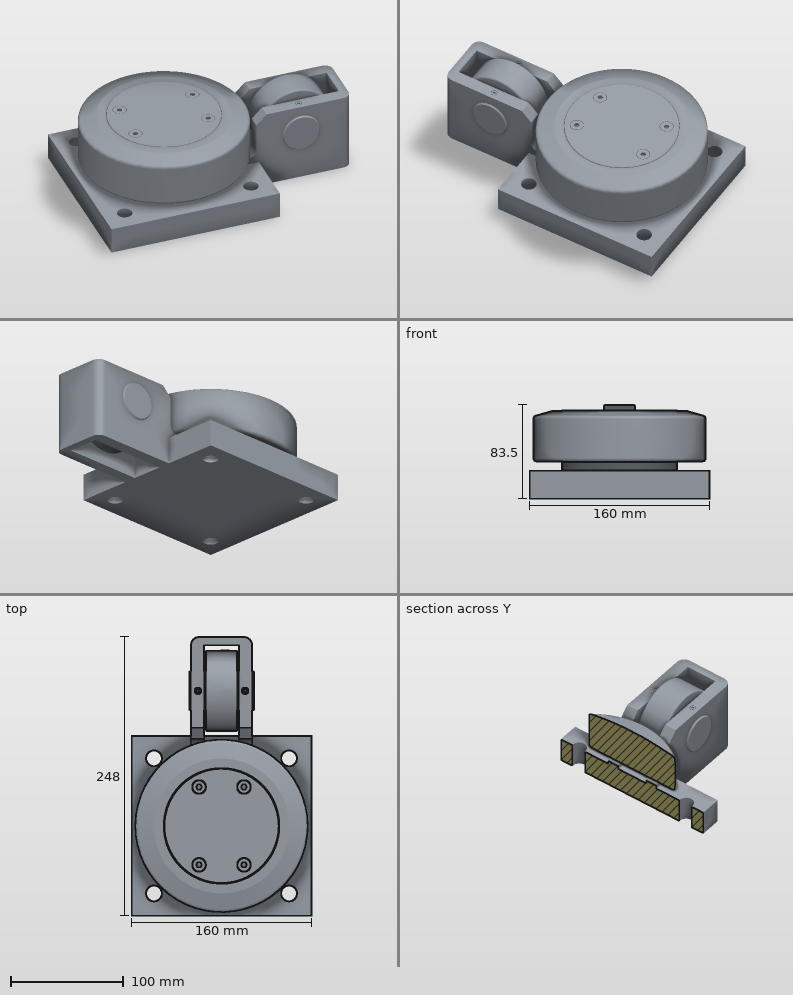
import cadquery as cq
import math

PLATE_SIDE = 160.0
PLATE_THICKNESS = 25.0
MOUNT_HOLE_DIAMETER = 14.0
MOUNT_HOLE_PITCH = 120.0

CAP_DIAMETER = 102.5
CAP_TOP = 78.9
CAP_CHAMFER = 0.5
ROLLER_DIAMETER = 153.3
ROLLER_BOTTOM = 33.2
ROLLER_TOP = 78.0
ROLLER_FLAT_DIAMETER = 120.0
ROLLER_SHOULDER = 73.5
ROLLER_CROWN = 0.12
ROLLER_EDGE_RADIUS = 3.0
ROLLER_BORE_DIAMETER = 103.0
BORE_GAP_DEPTH = 2.5

SCREW_CIRCLE_DIAMETER = 79.9
SCREW_ANGLES = (60, 120, 240, 300)
SCREW_POCKET_DIAMETER = 12.5
SCREW_HEAD_DIAMETER = 11.7
SCREW_GAP_DEPTH = 2.5
SOCKET_CORNER_DIAMETER = 5.2
SOCKET_DEPTH = 2.5

OVERALL_LENGTH = 248.0
FORK_WIDTH = 54.5
FORK_HEIGHT = 74.6
FORK_SLOT_WIDTH = 30.8
FORK_END_WALL = 7.7
FORK_CORNER_RADIUS = 7.7
FORK_CHAMFER = 9.7
ROLLER_CLEARANCE = 1.0
FOOT_TOP = 31.7
FOOT_TIP_Y = 56.3
FOOT_SLOPE_RUN = 5.7
FOOT_CORNER_RADIUS = 6.0

OVERALL_HEIGHT = 83.5
SIDE_ROLLER_DIAMETER = 72.0
SIDE_ROLLER_WIDTH = 27.8
SIDE_ROLLER_EDGE_RADIUS = 1.5
SIDE_ROLLER_CROWN = 0.12
PIN_Y = 120.0
PIN_DIAMETER = 35.2
PIN_LENGTH = 57.8
PIN_CHAMFER_LENGTH = 1.5
PIN_CHAMFER_DEPTH = 1.0

SET_SCREW_SPACING = 42.0
SET_SCREW_HOLE_DIAMETER = 6.0
SET_SCREW_DIAMETER = 5.0
SET_SCREW_GAP_DEPTH = 1.2
SET_SCREW_SOCKET_CORNER_DIAMETER = 3.0
SET_SCREW_SOCKET_DEPTH = 1.5

PLATE_EDGE_Y = PLATE_SIDE / 2
FORK_END_Y = OVERALL_LENGTH - PLATE_EDGE_Y
FORK_FACE_Y = ROLLER_DIAMETER / 2 + ROLLER_CLEARANCE
PIN_Z = OVERALL_HEIGHT - SIDE_ROLLER_DIAMETER / 2


def disc(diameter, bottom, top):
    """Cylinder about the Z axis between two heights."""
    return cq.Workplane("XY").workplane(offset=bottom).circle(diameter / 2).extrude(top - bottom)


def round_rims(roller, rim_radius, edge_radius):
    """Fillet the circular edges of a roller that have the given rim radius."""
    rims = roller.edges("%CIRCLE").filter(lambda edge: math.isclose(edge.radius(), rim_radius))
    return rims.fillet(edge_radius)


def make_plate():
    plate = cq.Workplane("XY").rect(PLATE_SIDE, PLATE_SIDE).extrude(PLATE_THICKNESS)
    holes = cq.Workplane("XY").rect(MOUNT_HOLE_PITCH, MOUNT_HOLE_PITCH, forConstruction=True).vertices()
    return plate.cut(holes.circle(MOUNT_HOLE_DIAMETER / 2).extrude(PLATE_THICKNESS))


def make_main_roller():
    side_radius = ROLLER_DIAMETER / 2 - ROLLER_CROWN
    middle_height = (ROLLER_BOTTOM + ROLLER_SHOULDER) / 2
    roller = (
        cq.Workplane("XZ")
        .moveTo(0, ROLLER_BOTTOM)
        .lineTo(side_radius, ROLLER_BOTTOM)
        .threePointArc((ROLLER_DIAMETER / 2, middle_height), (side_radius, ROLLER_SHOULDER))
        .lineTo(ROLLER_FLAT_DIAMETER / 2, ROLLER_TOP)
        .lineTo(0, ROLLER_TOP)
        .close()
        .revolve(360, (0, 0, 0), (0, 1, 0))
    )
    roller = round_rims(roller, side_radius, ROLLER_EDGE_RADIUS)

    gap_bottom = ROLLER_TOP - BORE_GAP_DEPTH
    bore_gap = disc(ROLLER_BORE_DIAMETER, gap_bottom, ROLLER_TOP)
    cap = disc(CAP_DIAMETER, gap_bottom, CAP_TOP).faces(">Z").chamfer(CAP_CHAMFER)
    spacer = disc(CAP_DIAMETER, PLATE_THICKNESS, ROLLER_BOTTOM).faces("<Z or >Z").chamfer(CAP_CHAMFER)
    return roller.cut(bore_gap).union(cap).union(spacer)


def make_screw_recesses(
    centres, face_height, hole_diameter, head_diameter, gap_depth, socket_diameter, socket_depth
):
    """Ring gap around each flush screw head and the hexagon socket in its middle."""
    face = cq.Workplane("XY").workplane(offset=face_height).pushPoints(centres)
    holes = face.circle(hole_diameter / 2).extrude(-gap_depth)
    heads = face.circle(head_diameter / 2).extrude(-gap_depth)
    sockets = face.polygon(6, socket_diameter).extrude(-socket_depth)
    return holes.cut(heads).union(sockets)


def make_cap_screw_recesses():
    circle_radius = SCREW_CIRCLE_DIAMETER / 2
    centres = [
        (circle_radius * math.cos(math.radians(angle)), circle_radius * math.sin(math.radians(angle)))
        for angle in SCREW_ANGLES
    ]
    return make_screw_recesses(
        centres,
        CAP_TOP,
        SCREW_POCKET_DIAMETER,
        SCREW_HEAD_DIAMETER,
        SCREW_GAP_DEPTH,
        SOCKET_CORNER_DIAMETER,
        SOCKET_DEPTH,
    )


def make_set_screw_recesses():
    return make_screw_recesses(
        [(-SET_SCREW_SPACING / 2, PIN_Y), (SET_SCREW_SPACING / 2, PIN_Y)],
        FORK_HEIGHT,
        SET_SCREW_HOLE_DIAMETER,
        SET_SCREW_DIAMETER,
        SET_SCREW_GAP_DEPTH,
        SET_SCREW_SOCKET_CORNER_DIAMETER,
        SET_SCREW_SOCKET_DEPTH,
    )


def make_fork():
    fork = (
        cq.Workplane("YZ")
        .moveTo(FORK_END_Y, 0)
        .lineTo(FORK_END_Y, FORK_HEIGHT)
        .lineTo(FORK_FACE_Y + FORK_CHAMFER, FORK_HEIGHT)
        .lineTo(FORK_FACE_Y, FORK_HEIGHT - FORK_CHAMFER)
        .lineTo(FORK_FACE_Y, FOOT_TOP + FOOT_CORNER_RADIUS)
        .radiusArc((FORK_FACE_Y - FOOT_CORNER_RADIUS, FOOT_TOP), FOOT_CORNER_RADIUS)
        .lineTo(FOOT_TIP_Y + FOOT_SLOPE_RUN, FOOT_TOP)
        .lineTo(FOOT_TIP_Y, PLATE_THICKNESS)
        .lineTo(PLATE_EDGE_Y, PLATE_THICKNESS)
        .lineTo(PLATE_EDGE_Y, 0)
        .close()
        .extrude(FORK_WIDTH / 2, both=True)
    )
    fork = fork.edges("|Z and >Y").fillet(FORK_CORNER_RADIUS)
    slot_length = FORK_END_Y - FORK_END_WALL
    slot = cq.Workplane("XY").center(0, slot_length / 2).rect(FORK_SLOT_WIDTH, slot_length)
    return fork.cut(slot.extrude(FORK_HEIGHT))


def make_side_roller():
    half_width = SIDE_ROLLER_WIDTH / 2
    side_radius = SIDE_ROLLER_DIAMETER / 2 - SIDE_ROLLER_CROWN
    roller = (
        cq.Workplane("XZ", origin=(0, PIN_Y, PIN_Z))
        .moveTo(-half_width, 0)
        .lineTo(-half_width, side_radius)
        .threePointArc((0, SIDE_ROLLER_DIAMETER / 2), (half_width, side_radius))
        .lineTo(half_width, 0)
        .close()
        .revolve(360, (0, 0, 0), (1, 0, 0))
    )
    roller = round_rims(roller, side_radius, SIDE_ROLLER_EDGE_RADIUS)
    pin = cq.Workplane("YZ").center(PIN_Y, PIN_Z).circle(PIN_DIAMETER / 2).extrude(PIN_LENGTH / 2, both=True)
    pin = pin.faces("<X or >X").chamfer(PIN_CHAMFER_LENGTH, PIN_CHAMFER_DEPTH)
    return roller.union(pin)


base = make_plate().union(make_main_roller()).cut(make_cap_screw_recesses())
fork = make_fork().cut(make_set_screw_recesses())
result = base.union(fork).union(make_side_roller())